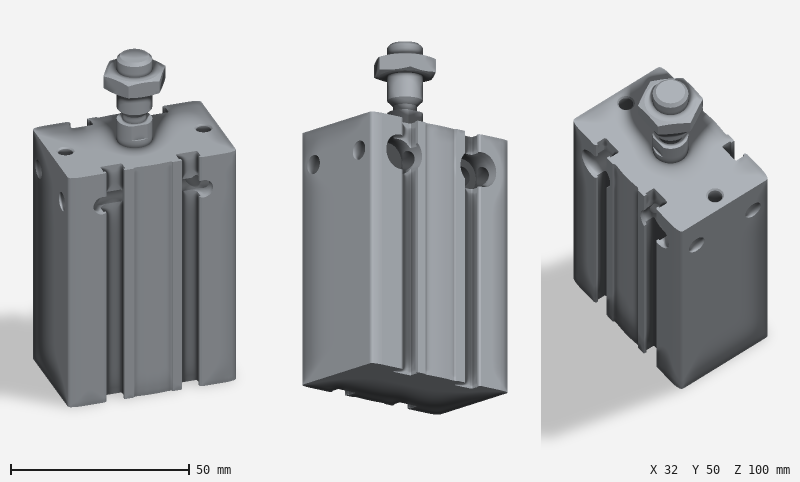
import cadquery as cq
import math

BODY_X = 32.0
BODY_Y = 50.0
BODY_Z = 73.2
HALF_X = BODY_X / 2
HALF_Y = BODY_Y / 2
FLAT_END_Y = 21.5
SIDE_CURVE_R = 9.0
CORNER_R = 1.0

GROOVE_MOUTH_Y = 5.8
GROOVE_STEP_Y = 5.6
GROOVE_STEP_DEPTH = 0.3
GROOVE_FLOOR_Y = 5.0
GROOVE_DEPTH = 0.5
CROWN_DEPTH = 0.2

SLOT_Y = 11.2
SLOT_MOUTH_W = 5.3
SLOT_W = 6.4
SLOT_DEPTH = 4.0
LIP_DEPTH = 1.0
LIP_CHAMFER_W = 0.6
LIP_CHAMFER_DEPTH = 0.3
FLOOR_CHAMFER = 0.3

HOLE_D = 5.5
HOLE_Z = 63.0
SIDE_HOLE_Y = 15.0
END_HOLE_X = 10.0
RECESS_D = 10.0
RECESS_SHIFT = 3.0
RECESS_DEPTH = 9.0

TAP_Y = 20.5
TAP_D = 4.1
TAP_MOUTH_D = 5.0
TAP_DEPTH = 10.0
DRILL_POINT_ANGLE = 118.0

TOP_Z = 100.0
ROD_D = 10.0
FLATS_W = 8.8
FLATS_BOTTOM_Z = 75.5
SHOULDER_Z = 80.0
NECK_D = 6.7
THREAD_START_Z = 83.7
TIP_D = 8.2

HEX_SIDES = 6
NUT_FLATS = 16.0
NUT_H = 5.0
NUT_TOP_Z = 95.7
NUT_FACE_D = 14.6
NUT_CHAMFER_ANGLE = 18.0


def side_x(y):
    """X of the curved part of the +X side at the given y."""
    return HALF_X - SIDE_CURVE_R + math.sqrt(SIDE_CURVE_R**2 - (y - FLAT_END_Y)**2)


def housing_block():
    """Plain block with curved sides and rounded vertical corners."""
    mid_y = (FLAT_END_Y + HALF_Y) / 2
    mid_x = side_x(mid_y)
    end_x = side_x(HALF_Y)
    outline = (
        cq.Workplane("XY")
        .moveTo(HALF_X, -FLAT_END_Y)
        .lineTo(HALF_X, FLAT_END_Y)
        .threePointArc((mid_x, mid_y), (end_x, HALF_Y))
        .lineTo(-end_x, HALF_Y)
        .threePointArc((-mid_x, mid_y), (-HALF_X, FLAT_END_Y))
        .lineTo(-HALF_X, -FLAT_END_Y)
        .threePointArc((-mid_x, -mid_y), (-end_x, -HALF_Y))
        .lineTo(end_x, -HALF_Y)
        .threePointArc((mid_x, -mid_y), (HALF_X, -FLAT_END_Y))
        .close()
    )
    block = outline.extrude(BODY_Z)
    corners = cq.selectors.BoxSelector((-BODY_X, HALF_Y - CORNER_R, 0), (BODY_X, BODY_Y, BODY_Z))
    corners += cq.selectors.BoxSelector((-BODY_X, -BODY_Y, 0), (BODY_X, CORNER_R - HALF_Y, BODY_Z))
    return block.edges("|Z").edges(corners).fillet(CORNER_R)


def groove_cutter(side):
    """Groove with a steep edge, a gentle slope and a crowned floor."""
    face_x = side * HALF_X
    step_x = side * (HALF_X - GROOVE_STEP_DEPTH)
    floor_x = side * (HALF_X - GROOVE_DEPTH)
    crown_x = side * (HALF_X - CROWN_DEPTH)
    return (
        cq.Workplane("XY")
        .moveTo(floor_x, -GROOVE_FLOOR_Y)
        .threePointArc((crown_x, 0), (floor_x, GROOVE_FLOOR_Y))
        .lineTo(step_x, GROOVE_STEP_Y)
        .lineTo(face_x, GROOVE_MOUTH_Y)
        .lineTo(face_x, -GROOVE_MOUTH_Y)
        .lineTo(step_x, -GROOVE_STEP_Y)
        .close()
        .extrude(BODY_Z)
    )


def slot_cutter(side, end):
    """T-slot with chamfered floor corners; the lip nearer the end face is chamfered too."""
    def at(depth, y_offset):
        return (side * (HALF_X - depth), end * (SLOT_Y + y_offset))

    mouth = SLOT_MOUTH_W / 2
    wall = SLOT_W / 2
    outline = [
        at(0, -mouth),
        at(LIP_DEPTH, -mouth),
        at(LIP_DEPTH, -wall),
        at(SLOT_DEPTH - FLOOR_CHAMFER, -wall),
        at(SLOT_DEPTH, FLOOR_CHAMFER - wall),
        at(SLOT_DEPTH, wall - FLOOR_CHAMFER),
        at(SLOT_DEPTH - FLOOR_CHAMFER, wall),
        at(LIP_DEPTH, wall),
        at(LIP_DEPTH, mouth),
        at(LIP_CHAMFER_DEPTH, mouth),
        at(0, mouth + LIP_CHAMFER_W),
    ]
    return cq.Workplane("XY").polyline(outline).close().extrude(BODY_Z)


def side_hole_cutter(end):
    """Hole along X with its round-ended recess on the -X side."""
    hole_y = end * SIDE_HOLE_Y
    recess_y = end * (SIDE_HOLE_Y - RECESS_SHIFT / 2)
    start = cq.Workplane("YZ", origin=(-HALF_X, 0, 0))
    hole = start.center(hole_y, HOLE_Z).circle(HOLE_D / 2).extrude(BODY_X)
    recess = (start.center(recess_y, HOLE_Z)
              .slot2D(RECESS_D + RECESS_SHIFT, RECESS_D).extrude(RECESS_DEPTH))
    return hole.union(recess)


def end_hole_cutter(x):
    """Hole along Y, right through the housing."""
    return (cq.Workplane("XZ", origin=(x, HALF_Y, HOLE_Z))
            .circle(HOLE_D / 2).extrude(BODY_Y))


def tapped_hole_cutter(y):
    """Countersunk hole with a drill point."""
    radius = TAP_D / 2
    mouth_radius = TAP_MOUTH_D / 2
    countersink = mouth_radius - radius
    point = radius / math.tan(math.radians(DRILL_POINT_ANGLE / 2))
    profile = [
        (0, 0),
        (mouth_radius, 0),
        (radius, -countersink),
        (radius, -TAP_DEPTH),
        (0, -TAP_DEPTH - point),
    ]
    return (cq.Workplane("XZ").polyline(profile).close().revolve(360, (0, 0), (0, 1))
            .translate((0, y, BODY_Z)))


def make_housing():
    """Block with grooves, slots, mounting holes and tapped holes."""
    body = housing_block()
    for side in (-1, 1):
        body = body.cut(groove_cutter(side))
        body = body.cut(end_hole_cutter(side * END_HOLE_X))
        for end in (-1, 1):
            body = body.cut(slot_cutter(side, end))
    for end in (-1, 1):
        body = body.cut(side_hole_cutter(end))
        body = body.cut(tapped_hole_cutter(end * TAP_Y))
    return body


def make_rod():
    """Rod standing on the housing, with a neck, a threaded end and two wrench flats."""
    rod_r = ROD_D / 2
    neck_r = NECK_D / 2
    tip_r = TIP_D / 2
    profile = [
        (0, BODY_Z),
        (rod_r, BODY_Z),
        (rod_r, SHOULDER_Z),
        (neck_r, SHOULDER_Z),
        (neck_r, THREAD_START_Z - (rod_r - neck_r)),
        (rod_r, THREAD_START_Z),
        (rod_r, TOP_Z - (rod_r - tip_r)),
        (tip_r, TOP_Z),
        (0, TOP_Z),
    ]
    rod = cq.Workplane("XZ").polyline(profile).close().revolve(360, (0, 0), (0, 1))
    flat_depth = (ROD_D - FLATS_W) / 2
    for side in (-1, 1):
        flat_x = side * (FLATS_W + flat_depth) / 2
        flat = (cq.Workplane("XY", origin=(flat_x, 0, FLATS_BOTTOM_Z))
                .rect(flat_depth, ROD_D)
                .extrude(SHOULDER_Z - FLATS_BOTTOM_Z))
        rod = rod.cut(flat)
    return rod


def make_nut():
    """Hexagon nut with flats facing +X and -X, chamfered on both faces."""
    corner_r = NUT_FLATS / 2 / math.cos(math.pi / HEX_SIDES)
    face_r = NUT_FACE_D / 2
    drop = (corner_r - face_r) * math.tan(math.radians(NUT_CHAMFER_ANGLE))
    hexagon = (cq.Workplane("XY").polygon(HEX_SIDES, 2 * corner_r).extrude(NUT_H)
               .rotate((0, 0, 0), (0, 0, 1), 180 / HEX_SIDES))
    profile = [
        (ROD_D / 2, 0),
        (face_r, 0),
        (corner_r, drop),
        (corner_r, NUT_H - drop),
        (face_r, NUT_H),
        (ROD_D / 2, NUT_H),
    ]
    ring = cq.Workplane("XZ").polyline(profile).close().revolve(360, (0, 0), (0, 1))
    return hexagon.intersect(ring).translate((0, 0, NUT_TOP_Z - NUT_H))


housing = make_housing()
rod = make_rod()
nut = make_nut()
result = cq.Compound.makeCompound([housing.val(), rod.val(), nut.val()])